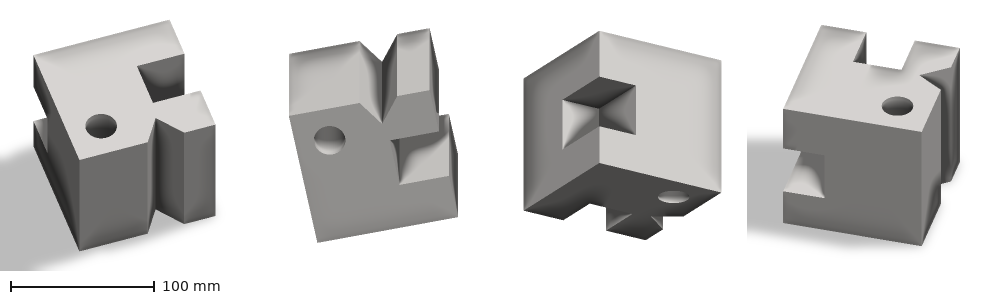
import cadquery as cq

side = 100.0

slot_width = 35.0
slot_depth = 35.0

pocket_length_x = 30.0
pocket_length_y = 48.8
pocket_bottom = 27.8
pocket_height = 37.5

notch_front_y = 50.2
notch_back_y = 77.0
notch_tip_x = 81.0
notch_tip_y = 62.4

hole_diameter = 22.0
hole_inset = 24.1
hole_x = side - hole_inset
hole_y = hole_inset

block = cq.Workplane("XY").box(side, side, side, centered=False)

slot = (
    cq.Workplane("XY")
    .box(slot_width, slot_depth, side, centered=False)
    .translate(((side - slot_width) / 2, side - slot_depth, 0))
)

pocket = (
    cq.Workplane("XY")
    .box(pocket_length_x, pocket_length_y, pocket_height, centered=False)
    .translate((0, 0, pocket_bottom))
)

notch = (
    cq.Workplane("XY")
    .moveTo(side, notch_front_y)
    .lineTo(notch_tip_x, notch_tip_y)
    .lineTo(side, notch_back_y)
    .close()
    .extrude(side)
)

hole = cq.Workplane("XY").center(hole_x, hole_y).circle(hole_diameter / 2).extrude(side)

result = block.cut(slot).cut(pocket).cut(notch).cut(hole)